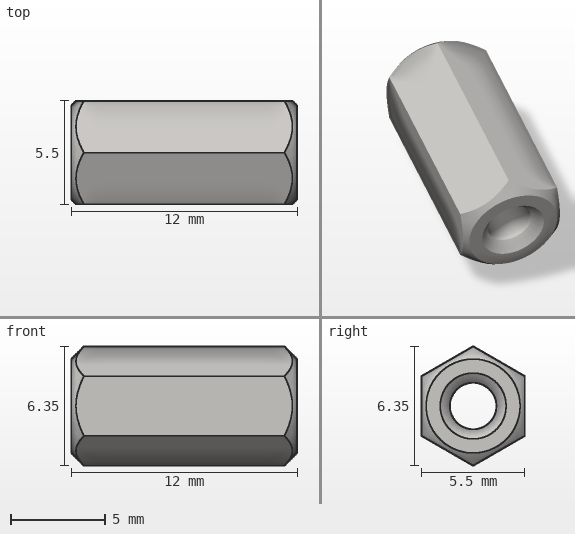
import cadquery as cq
import math

length = 12.0
across_flats = 5.5
across_corners = across_flats / math.cos(math.radians(30))
end_face_diameter = 4.99
bore_diameter = 2.46
countersink_diameter = 3.5

corner_chamfer = (across_corners - end_face_diameter) / 2
countersink_depth = (countersink_diameter - bore_diameter) / 2


def hex_bar():
    """Hexagonal bar centred on the origin, with corners pointing up and down."""
    return (
        cq.Workplane("YZ")
        .polygon(6, across_corners)
        .extrude(length / 2, both=True)
        .rotate((0, 0, 0), (1, 0, 0), 90)
    )


def chamfered_envelope():
    """Round bar through the hexagon corners, chamfered at both ends."""
    return (
        cq.Workplane("YZ")
        .circle(across_corners / 2)
        .extrude(length / 2, both=True)
        .faces("<X or >X")
        .chamfer(corner_chamfer)
    )


def countersunk_bore():
    """Through bore with a conical countersink at each end, as a solid to cut."""
    half_length = length / 2
    bore_radius = bore_diameter / 2
    countersink_radius = countersink_diameter / 2
    return (
        cq.Workplane("XY")
        .moveTo(-half_length, 0)
        .lineTo(-half_length, countersink_radius)
        .lineTo(-half_length + countersink_depth, bore_radius)
        .lineTo(half_length - countersink_depth, bore_radius)
        .lineTo(half_length, countersink_radius)
        .lineTo(half_length, 0)
        .close()
        .revolve(360, (0, 0, 0), (1, 0, 0))
    )


result = hex_bar().intersect(chamfered_envelope()).cut(countersunk_bore())